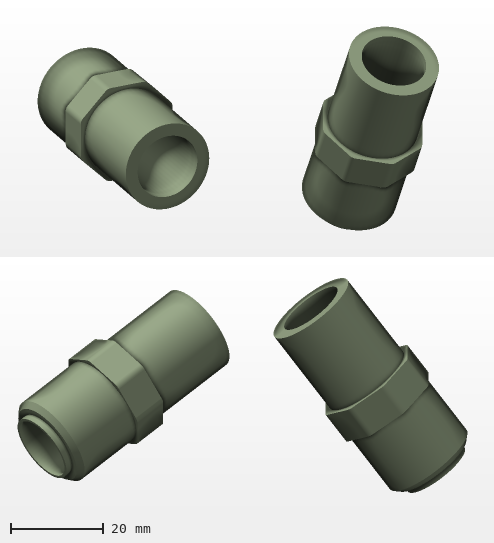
import cadquery as cq
import math

total_length = 46.0
spigot_length = 1.6
chamfer_length = 1.25
nut_start = 17.95
nut_width = 7.6
nut_across_flats = 22.0
nut_corner_radius = 1.85
nut_sides = 8

bore_diameter = 14.3
spigot_diameter = 15.55
body_diameter = 20.98
body_face_diameter = 18.6
tail_diameter = 20.0

nut_end = nut_start + nut_width


def cylinder(diameter, start, end):
    """Solid cylinder along X between two stations."""
    return cq.Workplane("YZ", origin=(start, 0, 0)).circle(diameter / 2).extrude(end - start)


def octagonal_nut():
    """Octagonal grip with flats square to Y and Z and rounded corners."""
    side_angle = 360 / nut_sides
    across_corners = nut_across_flats / math.cos(math.pi / nut_sides)
    return (
        cq.Workplane("YZ", origin=(nut_start, 0, 0))
        .polygon(nut_sides, across_corners)
        .extrude(nut_width)
        .rotate((0, 0, 0), (1, 0, 0), side_angle / 2)
        .edges("|X")
        .fillet(nut_corner_radius)
    )


def chamfered_body():
    """Front body with a conical lead-in at its free end."""
    chamfer_depth = (body_diameter - body_face_diameter) / 2
    return (
        cylinder(body_diameter, spigot_length, nut_start)
        .faces("<X")
        .chamfer(chamfer_length, chamfer_depth)
    )


spigot = cylinder(spigot_diameter, 0, spigot_length)
tail = cylinder(tail_diameter, nut_end, total_length)
bore = cylinder(bore_diameter, 0, total_length)

result = spigot.union(chamfered_body()).union(octagonal_nut()).union(tail).cut(bore)